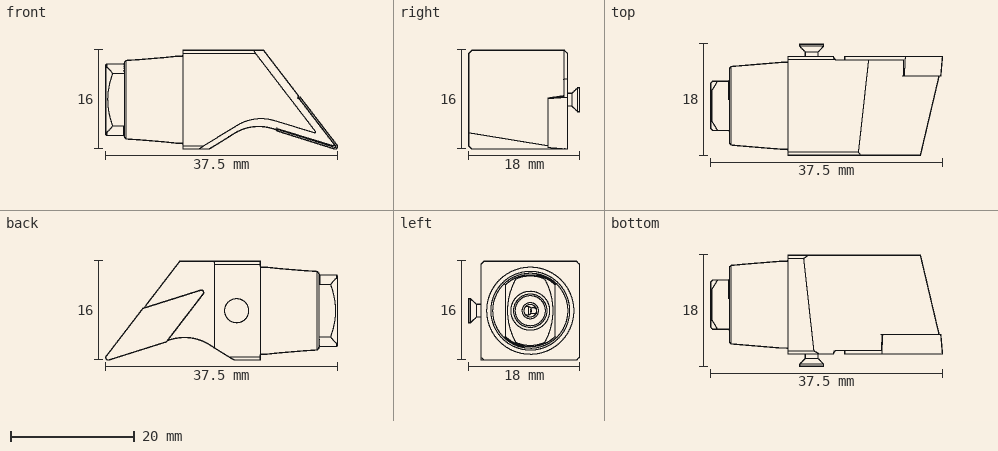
import cadquery as cq
import math


half_width = 24 / 3
edge_chamfer = 0.52
seat_face_y = 7.42
step_x = 7.4
step_fillet = 0.5
relief_angle = 5.0
flank_angle = 52.5
nose_angle = 35.0
lower_angle = 17.0
heel_angle = 31.6
heel_x = 2.47
throat_radius = 7.5
block_nose_x = 21.67
block_nose_z = -5.47
block_nose_fillet = 0.15
blank_length = 48.75

nose_end_x = -37.5 / 3
nose_radius = 5.8
nose_chamfer = 0.2
flat_half_width = 12 / 3
neck_x = -9.5
neck_fillet = 0.15
taper_small_radius = 6.37
taper_chamfer = 0.3
taper_end_x = -1.05
taper_large_radius = 7.05
root_fillet = 0.22
lead_radius = 10.5
lead_offset = 6.82

bore_radius = 2.7
bore_mouth_radius = 3.15
bore_depth = 7.5
bore_bevel_width = 0.25
bore_bevel_height = 0.15
coolant_radius = 1.0
coolant_mouth_radius = 1.3
coolant_end_x = 3.5
duct_radius = 0.5
duct_end_y = -0.97

insert_thickness = 3.2
insert_edge = 11.05
insert_tip_radius = 0.4
tip_x = 74.98 / 3
pocket_open_x = 18.67

screw_x = 3.82
screw_top_y = 9.97
screw_head_radius = 1.95
screw_rim_y = 9.65
screw_neck_y = 8.7
screw_radius = 1.05
screw_end_y = 3.97
pin_radius = 0.7
pin_shoulder_y = 0.3
pin_end_y = -0.1

block_width = 2 * half_width
relief_slope = math.tan(math.radians(relief_angle))

half_nose = math.radians(nose_angle / 2)
insert_tilt = flank_angle - nose_angle / 2
tip_arc_centre = insert_edge * math.cos(half_nose) - insert_tip_radius / math.sin(half_nose)


def tilted_prism(outline, direction):
    """Sweep a closed XZ outline drawn on the -Y face of the block along a leaning direction."""
    return cq.Workplane(cq.Solid.extrudeLinear(outline.val(), [], direction))


def flank_direction(normal_degrees):
    """Full-width sweep along Y that leans outward, by the relief angle, along a flank normal."""
    lean = block_width * relief_slope
    angle = math.radians(normal_degrees)
    return cq.Vector(lean * math.cos(angle), block_width, lean * math.sin(angle))


def front_plane():
    return cq.Workplane("XZ", origin=(0, -half_width, 0))


def turned_about_x(points):
    """Turn an outline of (x, radius) points, closed on the X axis."""
    return cq.Workplane("XY").polyline(points).close().revolve(360, (0, 0, 0), (1, 0, 0))


def turned_about_screw_axis(points):
    """Turn an outline of (radius, y) points about the screw axis."""
    placed = [(screw_x + radius, y) for radius, y in points]
    return cq.Workplane("XY").polyline(placed).close().revolve(360, (screw_x, 0, 0), (screw_x, 1, 0))


def centred_within(x, radius):
    """Selects edges in the plane at x whose centres lie within a radius of the X axis."""
    near = 0.05
    return cq.selectors.BoxSelector((x - near, -radius, -radius), (x + near, radius, radius))


def circle_about_x(x):
    """Selects the full circles in the plane at x, as only they are centred on the X axis."""
    return centred_within(x, 0.37)


def make_block():
    block = cq.Workplane("YZ").rect(block_width, block_width).extrude(blank_length)
    block = block.edges("|X").chamfer(edge_chamfer)
    block = block.cut(seat_step()).cut(upper_flank()).cut(underside())
    return block.edges(">X").fillet(block_nose_fillet)


def seat_step():
    """Material removed where the +Y side drops to the seat face."""
    depth = half_width - seat_face_y
    step = cq.Workplane("XY").box(blank_length, depth, block_width, centered=(False, False, True))
    step = step.translate((step_x, seat_face_y, 0))
    return step.edges("|Z and <X and <Y").fillet(step_fillet)


def upper_flank():
    """Material removed above the upper flank."""
    slope = math.tan(math.radians(flank_angle))
    high_z = half_width + block_width
    low_z = -half_width - block_width
    outline = front_plane().polyline(
        [
            (block_nose_x - (high_z - block_nose_z) / slope, high_z),
            (block_nose_x - (low_z - block_nose_z) / slope, low_z),
            (blank_length + block_width, low_z),
            (blank_length + block_width, high_z),
        ]
    )
    return tilted_prism(outline.close(), flank_direction(90 - flank_angle))


def underside():
    """Material removed below the heel slope, the throat and the lower flank."""
    heel = math.radians(heel_angle)
    lower = math.radians(lower_angle)
    nose_height = block_nose_z + half_width
    corner_x = (nose_height + block_nose_x * math.tan(lower) + heel_x * math.tan(heel)) / (
        math.tan(heel) + math.tan(lower)
    )
    corner_z = (corner_x - heel_x) * math.tan(heel) - half_width
    tangent = throat_radius * math.tan((heel + lower) / 2)
    throat_start = (corner_x - tangent * math.cos(heel), corner_z - tangent * math.sin(heel))
    throat_end = (corner_x + tangent * math.cos(lower), corner_z - tangent * math.sin(lower))
    reach = block_width
    heel_end = (heel_x - reach, -half_width - reach * math.tan(heel))
    flank_end = (block_nose_x + reach, block_nose_z - reach * math.tan(lower))
    outline = (
        front_plane()
        .moveTo(*heel_end)
        .lineTo(*throat_start)
        .tangentArcPoint(throat_end, relative=False)
        .lineTo(*flank_end)
        .lineTo(flank_end[0], heel_end[1])
        .close()
    )
    return tilted_prism(outline, flank_direction(-90 - lower_angle))


def make_shank():
    """Chamfered nose with two flats, then the taper up to the block."""
    taper = turned_about_x(
        [
            (neck_x, 0),
            (neck_x, taper_small_radius - taper_chamfer),
            (neck_x + taper_chamfer, taper_small_radius),
            (taper_end_x, taper_large_radius),
            (0, taper_large_radius),
            (0, 0),
        ]
    )
    nose = turned_about_x(
        [
            (nose_end_x, 0),
            (nose_end_x, nose_radius - nose_chamfer),
            (nose_end_x + nose_chamfer, nose_radius),
            (neck_x, nose_radius),
            (neck_x, 0),
        ]
    )
    nose_length = neck_x - nose_end_x
    flats = cq.Workplane("YZ", origin=(nose_end_x, 0, 0)).rect(2 * flat_half_width, 2 * nose_radius)
    nose = nose.intersect(flats.extrude(nose_length))
    for side in (-1, 1):
        nose = nose.intersect(flat_lead(side, nose_length))
    shank = taper.union(nose)
    return shank.edges(neck_corner()).fillet(neck_fillet)


def neck_corner():
    """Selects the nose edges on the end face of the taper, but not the taper's own circle."""
    return centred_within(neck_x, nose_radius) - circle_about_x(neck_x)


def flat_lead(side, length):
    """Cone that widens at 45 degrees from the nose end, its axis offset away from one flat."""
    cone = turned_about_x([(0, 0), (0, lead_radius), (length, lead_radius + length), (length, 0)])
    return cone.translate((nose_end_x, -side * lead_offset, 0))


def bore():
    """Bore from the nose end, with the coolant hole beyond it."""
    mouth_chamfer = bore_mouth_radius - bore_radius
    floor_x = nose_end_x + bore_depth
    coolant_chamfer = coolant_mouth_radius - coolant_radius
    return turned_about_x(
        [
            (nose_end_x, 0),
            (nose_end_x, bore_mouth_radius),
            (nose_end_x + mouth_chamfer, bore_radius),
            (floor_x - bore_bevel_height, bore_radius),
            (floor_x, bore_radius - bore_bevel_width),
            (floor_x, coolant_mouth_radius),
            (floor_x + coolant_chamfer, coolant_radius),
            (coolant_end_x, coolant_radius),
            (coolant_end_x + coolant_radius, 0),
        ]
    )


def pocket_opening():
    """Clears the thin edges of the block beside the insert, above its seat, toward the tip."""
    opening = cq.Workplane("XY").box(tip_x, insert_thickness, block_width, centered=(False, False, True))
    return opening.translate((pocket_open_x, half_width - insert_thickness, 0))


def duct():
    """Narrow hole that carries on from the end of the pin."""
    return turned_about_screw_axis(
        [(0, duct_end_y), (duct_radius, duct_end_y), (duct_radius, pin_shoulder_y), (0, pin_shoulder_y)]
    )


def insert_outline(inset):
    """Rounded rhombus about its own middle, long diagonal along X, moved in by an inset."""
    radius = insert_tip_radius - inset
    side_x = tip_arc_centre + radius * math.sin(half_nose)
    side_z = radius * math.cos(half_nose)
    tip = tip_arc_centre + radius
    blunt = insert_edge * math.sin(half_nose) - inset / math.cos(half_nose)
    return (
        cq.Workplane("XZ")
        .moveTo(0, blunt)
        .lineTo(side_x, side_z)
        .threePointArc((tip, 0), (side_x, -side_z))
        .lineTo(0, -blunt)
        .lineTo(-side_x, -side_z)
        .threePointArc((-tip, 0), (-side_x, side_z))
        .close()
        .val()
    )


def make_insert():
    """Rhombic insert with rounded tips; its sides lean inward below the rake face."""
    tilt = math.radians(insert_tilt)
    base = insert_outline(insert_thickness * relief_slope)
    rake = insert_outline(0).translate(cq.Vector(0, insert_thickness, 0))
    insert = cq.Workplane(cq.Solid.makeLoft([base, rake], True))
    middle = (
        tip_x - insert_tip_radius - tip_arc_centre * math.cos(tilt),
        half_width - insert_thickness,
        insert_tip_radius - half_width + tip_arc_centre * math.sin(tilt),
    )
    return insert.rotate((0, 0, 0), (0, 1, 0), insert_tilt).translate(middle)


def make_screw():
    """Countersunk screw standing proud of the +Y side."""
    return turned_about_screw_axis(
        [
            (0, screw_top_y),
            (screw_head_radius, screw_top_y),
            (screw_head_radius, screw_rim_y),
            (screw_radius, screw_neck_y),
            (screw_radius, screw_end_y),
            (0, screw_end_y),
        ]
    )


def make_pin():
    """Plain pin below the screw, its tapered end standing in the coolant hole."""
    return turned_about_screw_axis(
        [
            (0, screw_end_y),
            (pin_radius, screw_end_y),
            (pin_radius, pin_shoulder_y),
            (duct_radius, pin_end_y),
            (0, pin_end_y),
        ]
    )


def make_holder(insert, screw, pin):
    holder = make_block().union(make_shank())
    holder = holder.edges(circle_about_x(0)).fillet(root_fillet)
    for opening in (bore(), duct(), insert, pocket_opening(), screw, pin):
        holder = holder.cut(opening)
    return holder


insert = make_insert()
screw = make_screw()
pin = make_pin()
holder = make_holder(insert, screw, pin)

result = cq.Compound.makeCompound([holder.val(), insert.val(), screw.val(), pin.val()])